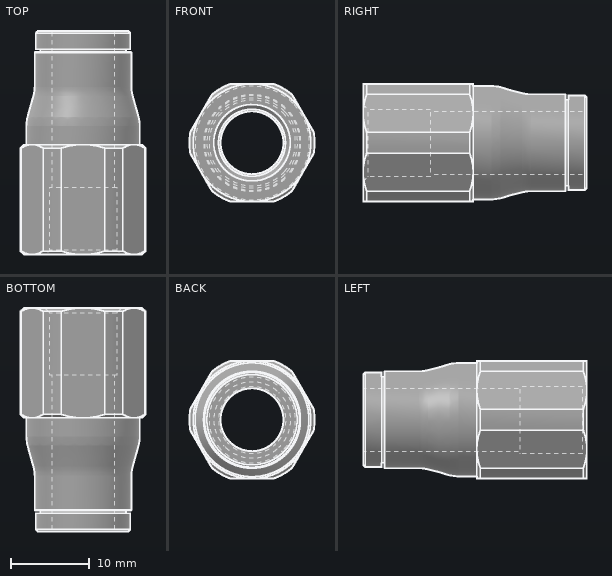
import math

import cadquery as cq

total_length = 28.5

hex_across_flats = 15.0
hex_corner_diameter = 16.0
hex_length = 14.02
hex_chamfer_length = 0.45

shoulder_diameter = 14.5
shoulder_end = 16.35
sleeve_diameter = 12.37
sleeve_start = 21.38
sleeve_end = 25.82
sleeve_chamfer = 0.09

neck_diameter = 10.97
collar_diameter = 12.08
collar_length = 2.37
collar_chamfer = 0.28

bore_diameter = 7.98
entry_diameter = 8.55
entry_depth = 8.55
countersink_diameter = 9.75

flare_arc_length = 1.17
flare_length = sleeve_start - shoulder_end
flare_rise = (shoulder_diameter - sleeve_diameter) / 2
flare_slope = flare_rise / (flare_length - flare_arc_length)
flare_angle = math.atan(flare_slope)
flare_arc_drop = flare_arc_length * math.tan(flare_angle / 2)


def revolve_about_y(profile):
    return profile.close().revolve(360, (0, 0, 0), (0, 1, 0))


def flare_arc_midpoint(start_radius, start_y, radial_side, axial_side):
    """Middle of an arc that leaves a cylinder tangentially."""
    arc_radius = flare_arc_length / math.sin(flare_angle)
    half_angle = flare_angle / 2
    radius = start_radius + radial_side * arc_radius * (1 - math.cos(half_angle))
    return radius, start_y + axial_side * arc_radius * math.sin(half_angle)


def make_hexagon():
    corner_radius = hex_corner_diameter / 2
    face_radius = hex_across_flats / 2
    envelope = revolve_about_y(
        cq.Workplane("XY")
        .moveTo(0, 0)
        .lineTo(face_radius, 0)
        .lineTo(corner_radius, hex_chamfer_length)
        .lineTo(corner_radius, hex_length - hex_chamfer_length)
        .lineTo(face_radius, hex_length)
        .lineTo(0, hex_length)
    )
    sharp_corner_diameter = hex_across_flats / math.cos(math.pi / 6)
    prism = cq.Workplane("XZ").polygon(6, sharp_corner_diameter).extrude(-hex_length)
    return prism.intersect(envelope)


def make_round_body():
    shoulder_radius = shoulder_diameter / 2
    sleeve_radius = sleeve_diameter / 2
    neck_radius = neck_diameter / 2
    collar_radius = collar_diameter / 2
    collar_start = total_length - collar_length
    return revolve_about_y(
        cq.Workplane("XY")
        .moveTo(0, 0)
        .lineTo(neck_radius, 0)
        .lineTo(neck_radius, hex_length)
        .lineTo(shoulder_radius, hex_length)
        .lineTo(shoulder_radius, shoulder_end)
        .threePointArc(
            flare_arc_midpoint(shoulder_radius, shoulder_end, -1, 1),
            (shoulder_radius - flare_arc_drop, shoulder_end + flare_arc_length),
        )
        .lineTo(sleeve_radius + flare_arc_drop, sleeve_start - flare_arc_length)
        .threePointArc(
            flare_arc_midpoint(sleeve_radius, sleeve_start, 1, -1),
            (sleeve_radius, sleeve_start),
        )
        .lineTo(sleeve_radius, sleeve_end - sleeve_chamfer)
        .lineTo(sleeve_radius - sleeve_chamfer, sleeve_end)
        .lineTo(neck_radius, sleeve_end)
        .lineTo(neck_radius, collar_start)
        .lineTo(collar_radius, collar_start)
        .lineTo(collar_radius, total_length - collar_chamfer)
        .lineTo(collar_radius - collar_chamfer, total_length)
        .lineTo(0, total_length)
    )


def make_bore():
    entry_radius = entry_diameter / 2
    countersink_radius = countersink_diameter / 2
    bore_radius = bore_diameter / 2
    countersink_depth = countersink_radius - entry_radius
    return revolve_about_y(
        cq.Workplane("XY")
        .moveTo(0, 0)
        .lineTo(countersink_radius, 0)
        .lineTo(entry_radius, countersink_depth)
        .lineTo(entry_radius, entry_depth)
        .lineTo(bore_radius, entry_depth)
        .lineTo(bore_radius, total_length)
        .lineTo(0, total_length)
    )


result = make_hexagon().union(make_round_body()).cut(make_bore())